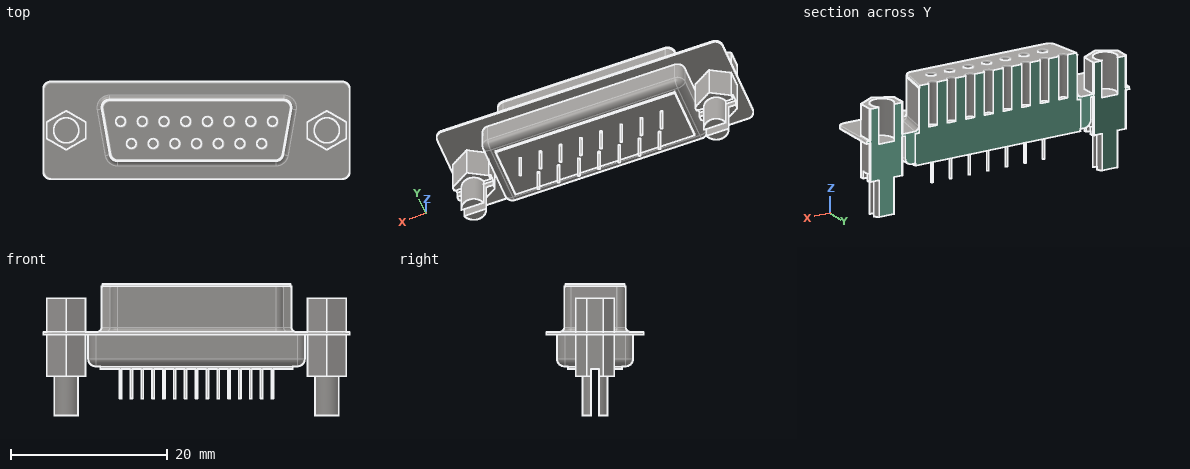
import cadquery as cq
import math


FLANGE_LENGTH = 39.2
FLANGE_WIDTH = 12.5
FLANGE_THICKNESS = 0.4
SHEET_BEND_RADIUS = 1.0
FLANGE_ROUND = 0.15
EDGE_ROUND = 0.098

SHROUD_MID_WIDTH = 23.3
SHROUD_DEPTH = 7.88
SHROUD_HEIGHT = 5.8
SHROUD_WALL = 0.1
SHROUD_ROOT_RADIUS = 0.6
SIDE_SLOPE = math.tan(math.radians(10))

CUP_LENGTH = 27.7
CUP_WIDTH = 9.75
CUP_BOTTOM = -4.43

INSULATOR_PROTRUSION = 0.3
INSULATOR_TOP = SHROUD_HEIGHT + INSULATOR_PROTRUSION
BASE_LENGTH = 24.6
BASE_WIDTH = 6.9
BASE_PROTRUSION = 0.3
BASE_BOTTOM = CUP_BOTTOM - BASE_PROTRUSION

CONTACT_PITCH = 2.77
BACK_ROW_COUNT = 8
ROW_SPACING = 2.82
HOLE_OFFSET_Y = -0.27
CONTACT_HOLE_DIAMETER = 1.2
CONTACT_HOLE_DEPTH = 5.88
PIN_DIAMETER = 0.3
PIN_LENGTH = 3.8

SCREW_SPACING = 33.3
HEX_SIZE = 4.98
HEX_FLAT_LENGTH = 2.1
HEX_HEIGHT = 10.0
STUD_DIAMETER = 3.2
STUD_LENGTH = 5.0
SCREW_BOTTOM = -10.7
SOCKET_DEPTH = 5.0
SLOT_WIDTH = 0.98
SLOT_DEPTH_IN_HEX = 0.98

HEX_BOTTOM = SCREW_BOTTOM + STUD_LENGTH
HEX_TOP = HEX_BOTTOM + HEX_HEIGHT
SCREW_CENTERS = [(side * SCREW_SPACING / 2, 0) for side in (-1, 1)]


def plate(length, width, bottom, top):
    """Rectangular block centred on the Z axis, between two heights."""
    return cq.Workplane("XY").workplane(offset=bottom).rect(length, width).extrude(top - bottom)


def d_prism(inset, bottom, top):
    """D-shaped prism with rounded corners, inset evenly from the shroud's outer wall."""
    half_depth = SHROUD_DEPTH / 2 - inset
    half_mid = SHROUD_MID_WIDTH / 2 - inset * math.hypot(1, SIDE_SLOPE)
    half_back = half_mid + half_depth * SIDE_SLOPE
    half_front = half_mid - half_depth * SIDE_SLOPE
    corners = [
        (-half_back, half_depth),
        (half_back, half_depth),
        (half_front, -half_depth),
        (-half_front, -half_depth),
    ]
    prism = cq.Workplane("XY").workplane(offset=bottom).polyline(corners).close().extrude(top - bottom)
    return prism.edges("|Z").fillet(SHEET_BEND_RADIUS - inset)


def hex_prism():
    """Hexagonal prism at the origin, with points toward +Y and -Y."""
    half_size = HEX_SIZE / 2
    half_flat = HEX_FLAT_LENGTH / 2
    corners = [
        (0, half_size),
        (half_size, half_flat),
        (half_size, -half_flat),
        (0, -half_size),
        (-half_size, -half_flat),
        (-half_size, half_flat),
    ]
    return cq.Workplane("XY").workplane(offset=HEX_BOTTOM).polyline(corners).close().extrude(HEX_HEIGHT)


def insulator_block():
    """Insulator without holes or pins: a D-shaped front on a rectangular base."""
    front = d_prism(SHROUD_WALL, -FLANGE_THICKNESS, INSULATOR_TOP)
    base = plate(BASE_LENGTH, BASE_WIDTH, BASE_BOTTOM, -FLANGE_THICKNESS)
    return front.union(base)


def contact_points(offset_y):
    """Plan positions of two staggered rows about Y = offset_y; the front row has one less."""
    points = []
    for row, count in enumerate((BACK_ROW_COUNT, BACK_ROW_COUNT - 1)):
        for index in range(count):
            x = (index - (count - 1) / 2) * CONTACT_PITCH
            points.append((x, (0.5 - row) * ROW_SPACING + offset_y))
    return points


def make_shell():
    flange = plate(FLANGE_LENGTH, FLANGE_WIDTH, -FLANGE_THICKNESS, 0)
    flange = flange.edges("|Z").fillet(SHEET_BEND_RADIUS)
    flange = flange.faces(">Z").edges().fillet(FLANGE_ROUND)

    shell = flange.union(d_prism(0, -FLANGE_THICKNESS, SHROUD_HEIGHT))
    root_zone = cq.selectors.BoxSelector(
        (-CUP_LENGTH / 2, -CUP_WIDTH / 2, -FLANGE_ROUND / 2),
        (CUP_LENGTH / 2, CUP_WIDTH / 2, FLANGE_ROUND / 2),
    )
    shell = shell.edges(root_zone).fillet(SHROUD_ROOT_RADIUS)

    cup = plate(CUP_LENGTH, CUP_WIDTH, CUP_BOTTOM, -FLANGE_THICKNESS)
    cup = cup.edges("|Z").fillet(SHEET_BEND_RADIUS)
    cup = cup.faces("<Z").edges().fillet(SHEET_BEND_RADIUS)
    shell = shell.union(cup)

    shell = shell.cut(insulator_block())
    for center in SCREW_CENTERS:
        shell = shell.cut(hex_prism().translate(center))
    return shell


def make_insulator():
    """Insulator with round-lipped contact holes on top and solder pins below."""
    insulator = insulator_block()
    top_face = insulator.faces(">Z").workplane(origin=(0, 0, INSULATOR_TOP))
    hole_points = contact_points(HOLE_OFFSET_Y)
    insulator = top_face.pushPoints(hole_points).hole(CONTACT_HOLE_DIAMETER, CONTACT_HOLE_DEPTH)
    insulator = insulator.faces(">Z").edges().fillet(EDGE_ROUND)

    pins = cq.Workplane("XY").workplane(offset=BASE_BOTTOM).pushPoints(contact_points(0))
    pins = pins.circle(PIN_DIAMETER / 2).extrude(-PIN_LENGTH)
    pins = pins.faces("<Z").edges().fillet(EDGE_ROUND)
    return insulator.union(pins)


def make_jack_screw(center):
    """Hexagonal standoff with a blind socket on top and a slotted stud below."""
    stud = cq.Workplane("XY").workplane(offset=SCREW_BOTTOM).circle(STUD_DIAMETER / 2).extrude(STUD_LENGTH)
    screw = hex_prism().union(stud)

    socket = cq.Workplane("XY").workplane(offset=HEX_TOP).circle(STUD_DIAMETER / 2).extrude(-SOCKET_DEPTH)
    slot = plate(HEX_SIZE, SLOT_WIDTH, SCREW_BOTTOM, HEX_BOTTOM + SLOT_DEPTH_IN_HEX)
    return screw.cut(socket).cut(slot).translate(center)


shell = make_shell()
insulator = make_insulator()
jack_screws = [make_jack_screw(center).val() for center in SCREW_CENTERS]

result = cq.Compound.makeCompound([shell.val(), insulator.val(), *jack_screws])